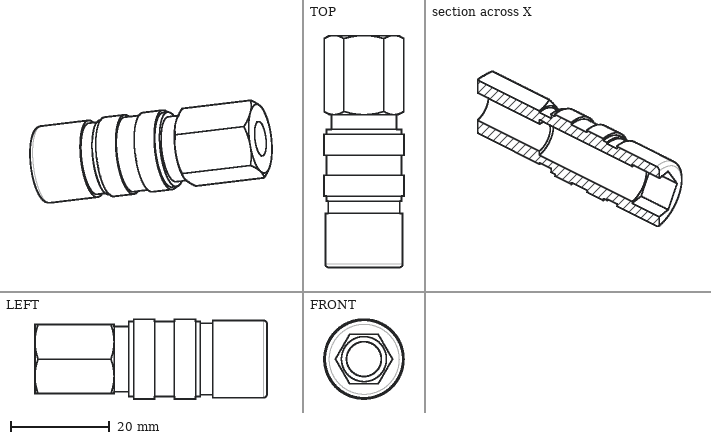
import cadquery as cq
import math

total_length = 47.0

sleeve_length = 11.0
sleeve_diameter = 15.7
sleeve_fillet = 0.75

front_neck_length = 2.5
front_neck_diameter = 14.5
lip_length = 1.0
ring_length = 4.3
ring_diameter = 16.2
groove_length = 4.0
groove_diameter = 15.25
rear_neck_length = 2.95
rear_neck_diameter = 13.25

hexagon_flats = 14.0
hexagon_chamfer_angle = 30.0

socket_flats = 10.0
socket_depth = 7.0
counterbore_diameter = 9.1
bore_diameter = 7.0

front_end = -total_length / 2
rear_end = total_length / 2

turned_steps = [
    (sleeve_length, sleeve_diameter),
    (front_neck_length, front_neck_diameter),
    (lip_length, groove_diameter),
    (ring_length, ring_diameter),
    (groove_length, groove_diameter),
    (ring_length, ring_diameter),
    (lip_length, groove_diameter),
    (rear_neck_length, rear_neck_diameter),
]
hexagon_start = front_end + sum(length for length, diameter in turned_steps)
hexagon_length = rear_end - hexagon_start


def plane_at(y):
    """Plane across the axis at y, facing +Y, with its local x along X."""
    return cq.Workplane(cq.Plane(origin=(0, y, 0), xDir=(1, 0, 0), normal=(0, 1, 0)))


def cylinder(start, length, diameter):
    return plane_at(start).circle(diameter / 2).extrude(length)


def hexagonal_prism(start, length, flats):
    corner_diameter = flats / math.cos(math.pi / 6)
    return plane_at(start).polygon(6, corner_diameter).extrude(length)


def turned_body():
    body = cylinder(front_end, sleeve_length, sleeve_diameter).faces("<Y").edges().fillet(sleeve_fillet)
    start = front_end + sleeve_length
    for length, diameter in turned_steps[1:]:
        body = body.union(cylinder(start, length, diameter))
        start += length
    return body


def wrench_hexagon():
    """Hexagon whose corners are turned down to the flats at both ends."""
    flat_radius = hexagon_flats / 2
    corner_radius = flat_radius / math.cos(math.pi / 6)
    chamfer_length = (corner_radius - flat_radius) * math.tan(math.radians(hexagon_chamfer_angle))
    envelope = (
        cq.Workplane("XY")
        .moveTo(0, hexagon_start)
        .lineTo(flat_radius, hexagon_start)
        .lineTo(corner_radius, hexagon_start + chamfer_length)
        .lineTo(corner_radius, rear_end - chamfer_length)
        .lineTo(flat_radius, rear_end)
        .lineTo(0, rear_end)
        .close()
        .revolve(360, (0, 0, 0), (0, 1, 0))
    )
    return hexagonal_prism(hexagon_start, hexagon_length, hexagon_flats).intersect(envelope)


def passage():
    """Hexagonal socket, counterbore as far as the wrench hexagon, then a through bore."""
    socket = hexagonal_prism(front_end, socket_depth, socket_flats)
    counterbore = cylinder(front_end, hexagon_start - front_end, counterbore_diameter)
    bore = cylinder(front_end, total_length, bore_diameter)
    return socket.union(counterbore).union(bore)


result = turned_body().union(wrench_hexagon()).cut(passage())